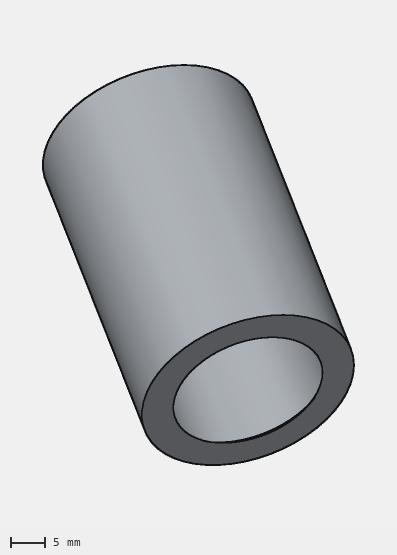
import cadquery as cq

length = 49.0
outer_diameter = 32.0
main_bore_diameter = 25.0
narrow_bore_diameter = 22.5

outer_radius = outer_diameter / 2
main_bore_radius = main_bore_diameter / 2
narrow_bore_radius = narrow_bore_diameter / 2
half_length = length / 2
cone_length = main_bore_radius - narrow_bore_radius

wall_section = (
    cq.Workplane("XY")
    .moveTo(-half_length, main_bore_radius)
    .lineTo(-half_length, outer_radius)
    .lineTo(half_length, outer_radius)
    .lineTo(half_length, narrow_bore_radius)
    .lineTo(half_length - cone_length, main_bore_radius)
    .close()
)

result = wall_section.revolve(360, (0, 0, 0), (1, 0, 0))